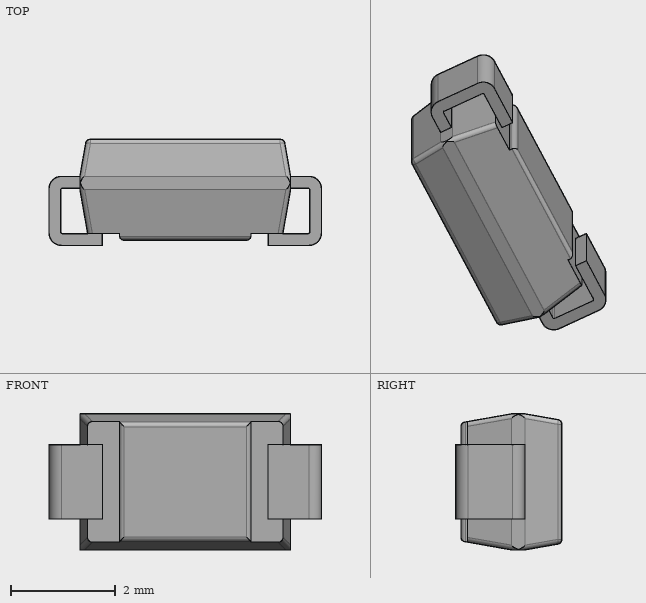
import cadquery as cq
import math

overall_length = 5.2
body_length = 4.025
body_height = 2.6
body_back = 2.03
belt_front = 1.07
belt_back = 1.32
draft_angle = 10.0
edge_radius = 0.095

pad_length = 2.515
pad_front = 0.1

lead_width = 1.42
lead_thickness = 0.23
outer_bend_radius = 0.24
inner_bend_radius = 0.025
foot_inner_x = 1.58

body_front = lead_thickness
draft_slope = math.tan(math.radians(draft_angle))


def drafted_block(belt_y, end_y):
    """Rounded frustum that has the full body section at belt_y and narrows toward end_y."""
    start_y = body_back + body_front - end_y
    growth = 2 * abs(belt_y - start_y) * draft_slope
    direction = 1 if end_y > start_y else -1
    return (
        cq.Workplane("XZ", origin=(0, start_y, 0))
        .rect(body_length + growth, body_height + growth)
        .extrude(-direction * (body_back - body_front), taper=draft_angle)
        .edges("not(#Y)")
        .fillet(edge_radius)
    )


def molded_body():
    """Two opposed frustums meeting in a straight belt around the body."""
    belt = (
        cq.Workplane("XZ", origin=(0, body_front, 0))
        .rect(body_length, body_height)
        .extrude(body_front - body_back)
    )
    back_block = drafted_block(belt_back, body_back).faces(">Y").edges().fillet(edge_radius)
    front_block = drafted_block(belt_front, body_front)
    return belt.intersect(back_block).intersect(front_block)


def front_pad():
    """Raised pad on the front face whose top and bottom continue the body draft."""
    belt_z = body_height / 2
    pad_z = belt_z - (belt_front - pad_front) * draft_slope
    pad = (
        cq.Workplane("YZ", origin=(-pad_length / 2, 0, 0))
        .moveTo(belt_front, -belt_z)
        .lineTo(belt_front, belt_z)
        .lineTo(pad_front, pad_z)
        .lineTo(pad_front, -pad_z)
        .close()
        .extrude(pad_length)
    )
    return pad.faces("<Y").edges().fillet(edge_radius)


def right_lead():
    """C-shaped strip leaving the belt and folding under the body."""
    outer_x = overall_length / 2
    inner_x = outer_x - lead_thickness
    strip = (
        cq.Workplane("XY", origin=(0, 0, -lead_width / 2))
        .moveTo(foot_inner_x, 0)
        .lineTo(outer_x, 0)
        .lineTo(outer_x, belt_back)
        .lineTo(foot_inner_x, belt_back)
        .lineTo(foot_inner_x, belt_back - lead_thickness)
        .lineTo(inner_x, belt_back - lead_thickness)
        .lineTo(inner_x, lead_thickness)
        .lineTo(foot_inner_x, lead_thickness)
        .close()
        .extrude(lead_width)
    )
    strip = strip.edges("|Z and >X").fillet(outer_bend_radius)
    inner_corners = cq.selectors.BoxSelector(
        (inner_x - inner_bend_radius, 0, -lead_width),
        (inner_x + inner_bend_radius, belt_back, lead_width),
    )
    return strip.edges("|Z").edges(inner_corners).fillet(inner_bend_radius)


lead = right_lead()
result = molded_body().union(front_pad()).union(lead).union(lead.mirror("YZ"))